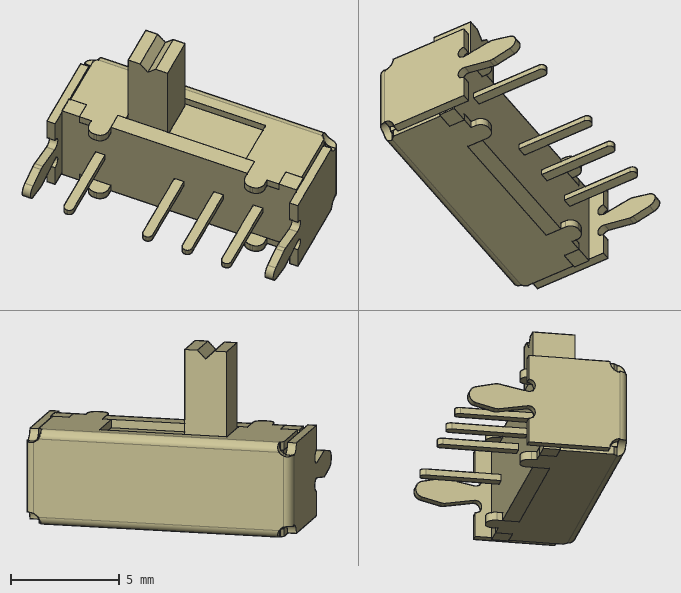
import cadquery as cq
import math


length = 12.7
height = 4.5
sheet = 0.4
ear_thickness = 0.42
half_length = length / 2
half_height = height / 2
ear_inner_x = half_length - ear_thickness
plate_inner_z = half_height - sheet
plate_half_length = 5.84
plate_reach = 3.11
ear_half_height = 2.15
ear_reach = 4.69

tab_inner_x = 3.45
tab_width = 0.99
tab_root_width = 1.59
tab_length = 0.69
tab_corner_radius = 0.43

window_length = 6.07
window_back_reach = 0.9

relief_radius = 0.5
ear_relief_reach = 0.35
relief_z = 2.15
relief_x = 6.15
plate_relief_reach = 0.17

leg_notch_radius = 0.3
leg_notch_z = 0.66
leg_peak_reach = 6.18
leg_peak_z = 0.64
leg_peak_radius = 0.5
leg_shoulder_reach = 7.19
leg_shoulder_z = 0.4
leg_tip_reach = 7.49

housing_reach = 3.91

slider_width = 2.0
slider_x = -slider_width
slider_back_reach = 0.99
slider_height = 4.0
slider_notch_depth = 0.4

pin_pitch = 2.0
pin_positions = [-2 * pin_pitch, 0.0, pin_pitch, 2 * pin_pitch]
pin_width = 0.48
pin_thickness = 0.3
pin_tip_radius = 0.23
pin_reach = 7.7


def block(x_range, reach_range, z_range):
    """Box between two X values, two distances from the back and two Z values."""
    x_low, x_high = x_range
    reach_low, reach_high = reach_range
    z_low, z_high = z_range
    size = (x_high - x_low, reach_high - reach_low, z_high - z_low)
    return cq.Workplane("XY").box(*size, centered=False).translate((x_low, -reach_high, z_low))


def mirrored_in_x(body):
    return body.union(body.mirror("YZ"))


def mirrored_in_z(body):
    return body.union(body.mirror("XY"))


def make_tab_roots():
    """Four sheet rectangles that carry the tabs through the housing front."""
    root = block(
        (tab_inner_x, tab_inner_x + tab_root_width),
        (plate_reach, housing_reach),
        (plate_inner_z, half_height),
    )
    return mirrored_in_z(mirrored_in_x(root))


def make_tabs():
    """Four round-cornered tabs that stand out in front of the housing."""
    tab = block(
        (tab_inner_x, tab_inner_x + tab_width),
        (housing_reach, housing_reach + tab_length),
        (plate_inner_z, half_height),
    )
    tab = tab.faces("<Y").edges("|Z").fillet(tab_corner_radius)
    return mirrored_in_z(mirrored_in_x(tab))


def make_leg_profile():
    """Outline of an ear leg in the YZ plane, from the ear edge to the rounded tip."""
    run = leg_peak_reach - ear_reach
    rise = leg_notch_z - leg_peak_z
    flank_angle = math.asin(leg_notch_radius / math.hypot(run, rise)) - math.atan2(rise, run)
    flank_reach = ear_reach + leg_notch_radius * math.sin(flank_angle)
    flank_z = leg_notch_z - leg_notch_radius * math.cos(flank_angle)
    notch_side_z = leg_notch_z - leg_notch_radius
    return (
        cq.Workplane("YZ")
        .moveTo(-ear_reach, notch_side_z)
        .lineTo(-flank_reach, flank_z)
        .lineTo(-leg_peak_reach, leg_peak_z)
        .lineTo(-leg_shoulder_reach, leg_shoulder_z)
        .threePointArc((-leg_tip_reach, 0), (-leg_shoulder_reach, -leg_shoulder_z))
        .lineTo(-leg_peak_reach, -leg_peak_z)
        .lineTo(-flank_reach, -flank_z)
        .lineTo(-ear_reach, -notch_side_z)
        .close()
    )


def make_ear_legs():
    leg = make_leg_profile().extrude(ear_thickness)
    leg = leg.edges("|X").edges(">Z or <Z").fillet(leg_peak_radius)
    return mirrored_in_x(leg.translate((ear_inner_x, 0, 0)))


def make_leg_notches():
    """Round notches in the ear edges above and below each leg."""
    return (
        cq.Workplane("YZ", origin=(-half_length, 0, 0))
        .pushPoints([(-ear_reach, leg_notch_z), (-ear_reach, -leg_notch_z)])
        .circle(leg_notch_radius)
        .extrude(length)
    )


def make_corner_reliefs():
    """Round reliefs in the ears, the plates and the back wall at the four back corners."""
    ear_relief = (
        cq.Workplane("YZ", origin=(ear_inner_x, 0, 0))
        .center(-ear_relief_reach, relief_z)
        .circle(relief_radius)
        .extrude(ear_thickness)
    )
    plate_relief = (
        cq.Workplane("XY", origin=(0, 0, plate_inner_z))
        .center(relief_x, -plate_relief_reach)
        .circle(relief_radius)
        .extrude(sheet)
    )
    back_relief = (
        cq.Workplane("XZ")
        .center(relief_x, relief_z)
        .circle(relief_radius)
        .extrude(sheet)
    )
    front_reliefs = ear_relief.union(plate_relief).intersect(block(
        (0, half_length), (sheet, ear_reach), (0, half_height + relief_radius)))
    return mirrored_in_z(mirrored_in_x(front_reliefs.union(back_relief)))


def make_shell():
    x_span = (-half_length, half_length)
    z_span = (-half_height, half_height)
    shell = block(x_span, (0, ear_reach), z_span)
    shell = shell.faces(">Y").edges().fillet(sheet)
    shell = shell.cut(block(
        (-ear_inner_x, ear_inner_x), (sheet, ear_reach), (-plate_inner_z, plate_inner_z)))
    plate_front = block(
        (-ear_inner_x, ear_inner_x), (plate_reach, ear_reach), z_span)
    slit = block((plate_half_length, ear_inner_x), (sheet, ear_reach), z_span)
    ear_trim = block(
        (plate_half_length, half_length), (0, ear_reach), (ear_half_height, half_height))
    window = block(
        (-window_length / 2, window_length / 2),
        (window_back_reach, plate_reach),
        (plate_inner_z, half_height),
    )
    shell = shell.cut(plate_front).cut(mirrored_in_x(slit)).cut(window)
    shell = shell.cut(mirrored_in_z(mirrored_in_x(ear_trim)))
    shell = shell.cut(make_corner_reliefs()).union(make_ear_legs()).cut(make_leg_notches())
    return shell.union(make_tab_roots()).union(make_tabs())


def make_housing():
    core = block(
        (-plate_half_length, plate_half_length),
        (sheet, plate_reach),
        (-plate_inner_z, plate_inner_z),
    )
    front = block(
        (-ear_inner_x, ear_inner_x), (plate_reach, housing_reach), (-half_height, half_height))
    return core.union(front).cut(make_tab_roots())


def make_slider():
    """Upright bar on the housing core with a V notch across its top."""
    half_width = slider_width / 2
    top = half_height + slider_height
    return (
        cq.Workplane("XZ", origin=(slider_x, -slider_back_reach, 0))
        .moveTo(-half_width, plate_inner_z)
        .lineTo(half_width, plate_inner_z)
        .lineTo(half_width, top)
        .lineTo(slider_notch_depth, top)
        .lineTo(0, top - slider_notch_depth)
        .lineTo(-slider_notch_depth, top)
        .lineTo(-half_width, top)
        .close()
        .extrude(slider_width)
    )


def make_pin(x):
    """Flat pin with a rounded tip that stands on the housing front."""
    pin = block(
        (x - pin_width / 2, x + pin_width / 2),
        (housing_reach, pin_reach),
        (-pin_thickness / 2, pin_thickness / 2),
    )
    return pin.faces("<Y").edges("|Z").fillet(pin_tip_radius)


shell = make_shell()
housing = make_housing()
slider = make_slider()
pins = [make_pin(x) for x in pin_positions]

result = cq.Compound.makeCompound(
    [shell.val(), housing.val(), slider.val(), *[pin.val() for pin in pins]]
)